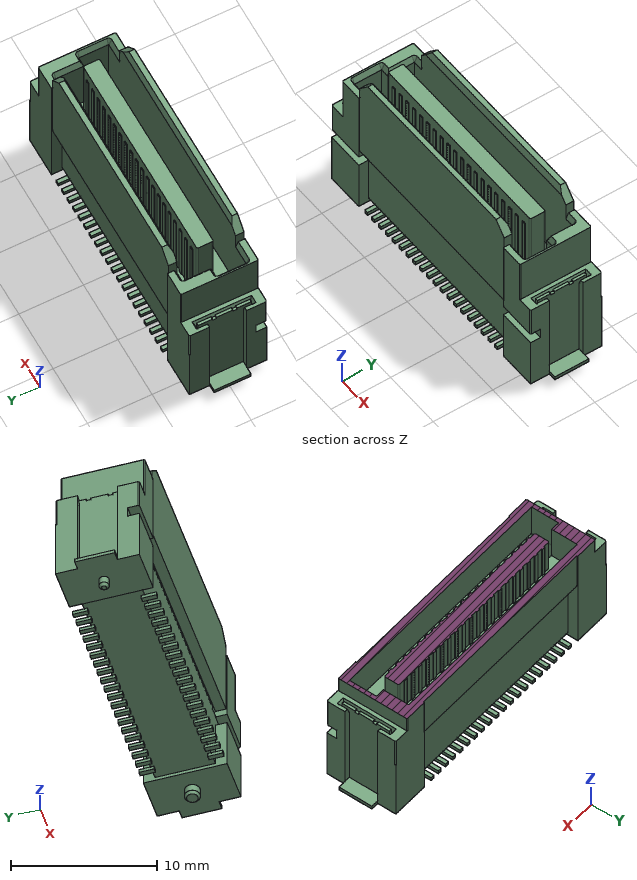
import cadquery as cq

total_length = 24.6
depth = 6.0

base_length = 23.3
base_top = 5.05
ledge_top = 7.48
upper_length = 20.8
upper_top = 11.05
ledge_chamfer = 0.1
upper_chamfer = 0.07

wall_length = 16.92
wall_outer_y = 2.93
wall_inner_y = 2.26
wall_top = 13.01
wall_bottom = 5.6
wall_corner_x = 0.95
wall_corner_z = 1.03
flare = 0.22
flare_height = 0.5

cavity_length = 18.57
cavity_floor = 6.0
key_length = 20.07
key_top_y = 0.05
rim_radius = 0.25
pocket_inner_x = 8.73
pocket_bottom = 4.5
pocket_bottom_x = (9.27, 9.85)
pocket_bottom_y = (-1.65, -0.57)

recess_y = 2.16
base_clearance = 0.3
undercut_y = 1.77
undercut_bottom = 5.15
sill_length = 15.45
sill_top = 5.31
slot_bottom = 4.2

tongue_length = 16.65
tongue_width = 1.28
tongue_top = 12.3
tongue_radius = 0.12
contacts_per_row = 20
contact_span = 15.2
contact_width = 0.32
contact_thickness = 0.25
contact_proud = 0.07
contact_top = 11.37
contact_root_top = 5.5

plate_slot_x = (10.73, 11.37)
plate_slot_width = 4.6
plate_slot_depth = 0.5
plate_x = (10.95, 11.17)
plate_width = 4.13
channel_width = 2.85
plate_notch_y = 0.79
plate_notch_width = 0.32
plate_notch_depth = 0.15
tab_thickness = 0.3

peg_x = 10.1
peg_length = 0.79
peg_taper = 0.2
small_peg_diameter = 0.71
small_peg_tip = 0.35
large_peg_diameter = 1.1
large_peg_tip = 0.79


def block(x_range, y_range, z_range):
    """Box between the given limits."""
    size = [high - low for low, high in (x_range, y_range, z_range)]
    corner = (x_range[0], y_range[0], z_range[0])
    return cq.Workplane("XY").box(*size, centered=False).translate(corner)


def centred(length, width, z_range):
    """Box centred on the Z axis."""
    return block((-length / 2, length / 2), (-width / 2, width / 2), z_range)


def both_ends(shape):
    return shape.union(shape.mirror("YZ"))


def both_sides(shape):
    return shape.union(shape.mirror("XZ"))


def rectangle(plane_z, x_range, y_range):
    """Rectangle at a given height."""
    length = x_range[1] - x_range[0]
    width = y_range[1] - y_range[0]
    centre = (sum(x_range) / 2, sum(y_range) / 2, plane_z)
    return cq.Workplane("XY", origin=centre).rect(length, width)


def flared_opening(x_half, y_range):
    """Straight opening down to the cavity floor, widening at the rim."""
    straight = block((-x_half, x_half), y_range, (cavity_floor, upper_top))
    rim_y = (y_range[0] - flare, y_range[1] + flare)
    rim_x = x_half + flare
    rim_z = (upper_top - flare_height, upper_top + flare_height)
    rim = block((-rim_x, rim_x), rim_y, rim_z).edges("|Z").fillet(rim_radius)
    rim = rim.faces("<Z").edges().chamfer(flare_height, flare)
    return straight.union(rim)


def housing():
    base = centred(base_length, depth, (0, base_top))
    ledge = centred(base_length, depth, (base_top, ledge_top))
    upper = centred(upper_length, depth, (ledge_top, upper_top))
    ledge = ledge.edges("|Z").chamfer(ledge_chamfer)
    upper = upper.edges("|Z").chamfer(upper_chamfer)
    return base.union(ledge).union(upper)


def cavity():
    main = flared_opening(cavity_length / 2, (-wall_inner_y, wall_inner_y))
    keys = flared_opening(key_length / 2, (-wall_inner_y, key_top_y))
    return main.union(keys)


def floor_pockets():
    """Tapered pockets in the cavity floor below the key notches."""
    mouth = rectangle(cavity_floor, (pocket_inner_x, key_length / 2), (-wall_inner_y, key_top_y))
    bottom = rectangle(pocket_bottom, pocket_bottom_x, pocket_bottom_y)
    pocket = cq.Solid.makeLoft([mouth.val(), bottom.val()], True)
    return both_ends(cq.Workplane(obj=pocket))


def wall():
    """Front shroud wall with clipped upper corners and a bevelled inner top edge."""
    half = wall_length / 2
    profile = [
        (-wall_outer_y, wall_bottom),
        (-wall_outer_y, wall_top),
        (-wall_inner_y - flare, wall_top),
        (-wall_inner_y, wall_top - flare_height),
        (-wall_inner_y, wall_bottom),
    ]
    plate = cq.Workplane("YZ").polyline(profile).close().extrude(half, both=True)
    outline = [
        (-half, wall_bottom),
        (-half, wall_top - wall_corner_z),
        (-half + wall_corner_x, wall_top),
        (half - wall_corner_x, wall_top),
        (half, wall_top - wall_corner_z),
        (half, wall_bottom),
    ]
    return plate.intersect(cq.Workplane("XZ").polyline(outline).close().extrude(depth / 2))


def wall_gap():
    """Room taken out of the housing between the end blocks, outside the cavity."""
    half = wall_length / 2
    return block((-half, half), (-depth / 2, -wall_inner_y), (wall_bottom, upper_top))


def base_recess():
    """Set-back lower face with a sloping undercut beneath the wall."""
    profile = [
        (-depth / 2, base_clearance),
        (-recess_y, base_clearance),
        (-recess_y, undercut_bottom),
        (-undercut_y, undercut_bottom),
        (-recess_y, wall_bottom),
        (-depth / 2, wall_bottom),
    ]
    recess = cq.Workplane("YZ").polyline(profile).close().extrude(wall_length / 2, both=True)
    sill = block(
        (-sill_length / 2, sill_length / 2),
        (-recess_y, -undercut_y),
        (undercut_bottom, sill_top),
    )
    return recess.cut(sill)


def end_slot():
    """Notch running across the front of both end blocks."""
    half = base_length / 2
    return block((-half, half), (-depth / 2, -recess_y), (slot_bottom, base_top))


def plate_cuts():
    """Funnel-shaped slot for each retention plate and the open channel in the end face."""
    slot_half = plate_slot_width / 2
    plate_half = plate_width / 2
    channel_half = channel_width / 2
    mouth = rectangle(ledge_top, plate_slot_x, (-slot_half, slot_half))
    bottom = rectangle(ledge_top - plate_slot_depth, plate_x, (-plate_half, plate_half))
    slot = cq.Workplane(obj=cq.Solid.makeLoft([mouth.val(), bottom.val()], True))
    channel = block((plate_x[1], base_length / 2), (-channel_half, channel_half), (0, ledge_top))
    return both_ends(slot.union(channel))


def plates():
    """Retention plates with notched upper edges and solder tabs."""
    half = plate_width / 2
    channel_half = channel_width / 2
    plate = block(plate_x, (-half, half), (ledge_top - plate_slot_depth, ledge_top))
    notch = block(
        plate_x,
        (plate_notch_y - plate_notch_width / 2, plate_notch_y + plate_notch_width / 2),
        (ledge_top - plate_notch_depth, ledge_top),
    )
    tab = block((plate_x[0], total_length / 2), (-channel_half, channel_half), (0, tab_thickness))
    return both_ends(plate.cut(both_sides(notch)).union(tab))


def tongue():
    body = centred(tongue_length, tongue_width, (cavity_floor, tongue_top))
    return body.edges("|Z").fillet(tongue_radius)


def contact(x):
    """Front contact: strip on the tongue, root in the base and solder tail."""
    width = (x - contact_width / 2, x + contact_width / 2)
    strip_y = -tongue_width / 2 - contact_proud
    root_y = -recess_y + contact_thickness
    strip = block(width, (strip_y, strip_y + contact_thickness), (cavity_floor, contact_top))
    root = block(width, (-recess_y, root_y), (0, contact_root_top))
    tail = block(width, (-depth / 2, root_y), (0, base_clearance))
    return [strip, root.union(tail)]


def peg(x, diameter, tip_diameter):
    """Locating peg below the base with a tapered tip."""
    profile = [
        (0, 0),
        (diameter / 2, 0),
        (diameter / 2, peg_taper - peg_length),
        (tip_diameter / 2, -peg_length),
        (0, -peg_length),
    ]
    turned = cq.Workplane("XZ").polyline(profile).close().revolve(360, (0, 0), (0, 1))
    return turned.translate((x, 0, 0))


result = housing().cut(cavity()).cut(floor_pockets())
result = result.cut(both_sides(wall_gap()))
result = result.cut(both_sides(base_recess()))
result = result.cut(end_slot()).cut(plate_cuts())
result = result.cut(centred(wall_length, depth, (0, base_clearance)))

result = result.union(wall()).union(wall().mirror("XZ")).union(tongue()).union(plates())
result = result.union(peg(-peg_x, small_peg_diameter, small_peg_tip))
result = result.union(peg(peg_x, large_peg_diameter, large_peg_tip))

contact_pitch = contact_span / (contacts_per_row - 1)
contact_solids = []
for index in range(contacts_per_row):
    for piece in contact(index * contact_pitch - contact_span / 2):
        contact_solids += [piece.val(), piece.mirror("XZ").val()]
result = cq.Workplane(obj=result.val().fuse(*contact_solids)).clean()